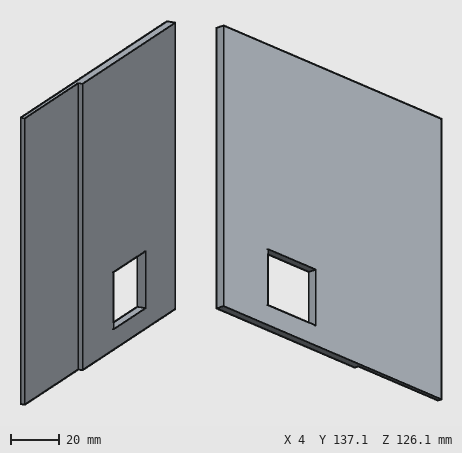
import cadquery as cq

length = 137.1
height = 126.1
thickness = 4.0

rebate_width = 50.0
thin_thickness = thickness / 2

window_length = 30.0
window_height = 25.1
window_from_back = 28.0
window_from_bottom = 9.0


def corner_box(size_x, size_y, size_z):
    """Box with its minimum corner at the origin."""
    return cq.Workplane("XY").box(size_x, size_y, size_z, centered=False)


def stepped_plate():
    """Plate standing in the YZ plane, thinner next to its -Y edge."""
    plate = corner_box(thickness, length, height)
    rebate = corner_box(thickness - thin_thickness, rebate_width, height)
    return plate.cut(rebate.translate((thin_thickness, 0, 0)))


def window():
    """Cutter for the window, as deep as the thick portion."""
    start_y = length - window_from_back - window_length
    cutter = corner_box(thickness, window_length, window_height)
    return cutter.translate((0, start_y, window_from_bottom))


result = stepped_plate().cut(window())